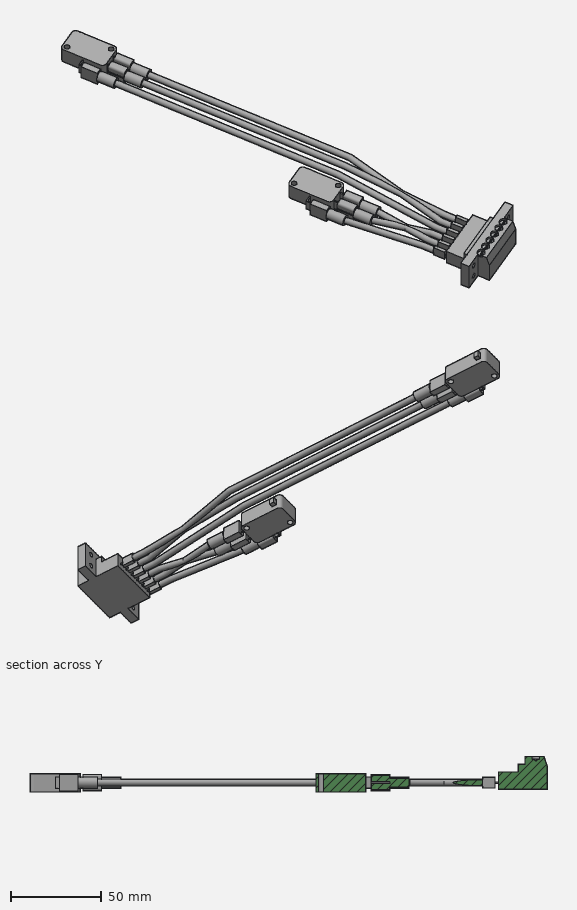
import cadquery as cq


harness_length = 286.04
harness_depth = 57.6
harness_height = 19.77

body_length = 27.8
body_width = 15.9
body_height = 10.3
body_corner_radius = 2.4
body_mid_z = body_height / 2
mount_hole_dia = 3.1
mount_pitch_x = 22.2
mount_pitch_y = 10.3
button_x = 4.3
button_length = 2.8
button_width = 4.0
button_travel = 2.5

wire_z = 5.25
blade_thickness = 0.8
blade_width = 6.35
blade_gap = 1.4
receptacle_length = 10.4
receptacle_thickness = 4.4
receptacle_width = 9.2
receptacle_curl_radius = 1.4
receptacle_seam_width = 0.8
receptacle_seam_depth = 1.2
sleeve_length = 10.6
sleeve_dia = 6.2
terminal_y = 3.7
terminal_pitch = 6.7
common_x = 14.0
common_drop = 4.2
common_axis_y = -3.7
common_receptacle_x = 16.2

switch_spacing_x = 158.0
switch_spacing_y = 27.6
far_switch_y = harness_depth - button_travel - body_width
far_switch_origin = (0, far_switch_y)
near_switch_origin = (switch_spacing_x, far_switch_y - switch_spacing_y)
far_crimp_slack = 0
near_crimp_slack = 1.4

way_count = 6
way_pitch = 5.08
connector_width = way_count * way_pitch
flange_width = 51.0
connector_axis_y = flange_width / 2
way_offset_y = -0.4
connector_bottom = 1.6
block_start = 258.9
block_top = 11.2
step_start = 269.9
step_top = 15.5
flange_start = 273.6
flange_end = 278.8
rear_top_x = 284.2
rear_slope_z = 14.3
flange_hole_dia = 2.8
flange_hole_pitch_y = 40.0
flange_hole_pitch_z = 8.6
screw_x = 279.7
screw_well_dia = 4.4
screw_well_depth = 1.5
screw_slot_width = 0.8
screw_slot_length = 3.2
screw_slot_depth = 0.8

cable_dia = 3.8
cable_bend_x = 177.0
ferrule_start = 243.2
contact_start = 250.2
contact_end = 257.2
contact_width = 1.9
contact_height = 6.0
pin_dia = 1.0
pin_insertion = 1.0


def box(x0, x1, y0, y1, z0, z1):
    """Box given by its limits along X, Y and Z."""
    return cq.Workplane("XY").box(x1 - x0, y1 - y0, z1 - z0, centered=False).translate((x0, y0, z0))


def rod(start, end, diameter):
    """Cylinder between two points (x, y) at the height of the cables."""
    direction = cq.Vector(end[0] - start[0], end[1] - start[1], 0)
    origin = cq.Vector(start[0], start[1], wire_z)
    return cq.Workplane(obj=cq.Solid.makeCylinder(diameter / 2, direction.Length, origin, direction))


def ball(point, diameter):
    return cq.Workplane("XY").sphere(diameter / 2).translate((point[0], point[1], wire_z))


def receptacle(x, y, curl_side):
    """Crimp receptacle; its rolled edges and their seam lie on the curl_side (+1 or -1) Y face."""
    shell = cq.Workplane("XY").box(receptacle_length, receptacle_thickness, receptacle_width)
    shell = shell.faces(">Y").edges("|X").fillet(receptacle_curl_radius)
    seam = cq.Workplane("XY").box(receptacle_length, receptacle_seam_depth, receptacle_seam_width)
    shell = shell.cut(seam.translate((0, (receptacle_thickness - receptacle_seam_depth) / 2, 0)))
    if curl_side < 0:
        shell = shell.mirror("XZ")
    return shell.translate((x + receptacle_length / 2, y, wire_z))


def switch_body():
    body = box(0, body_length, 0, body_width, 0, body_height)
    body = body.edges("|Z").fillet(body_corner_radius)
    holes = (
        cq.Workplane("XY")
        .pushPoints([
            ((body_length - mount_pitch_x) / 2, (body_width - mount_pitch_y) / 2),
            ((body_length + mount_pitch_x) / 2, (body_width + mount_pitch_y) / 2),
        ])
        .circle(mount_hole_dia / 2)
        .extrude(body_height)
    )
    button = box(
        button_x - button_length / 2, button_x + button_length / 2,
        body_width - button_travel, body_width + button_travel,
        body_mid_z - button_width / 2, body_mid_z + button_width / 2,
    )
    return body.cut(holes).union(button)


def straight_terminal(y, slack):
    """Blade on the +X end of the body with its receptacle and sleeve."""
    half_blade = blade_thickness / 2
    receptacle_x = body_length + blade_gap + slack
    receptacle_end = receptacle_x + receptacle_length
    blade = box(
        body_length - blade_gap, receptacle_end, y - half_blade, y + half_blade,
        wire_z - blade_width / 2, wire_z + blade_width / 2,
    )
    sleeve = rod((receptacle_end, y), (receptacle_end + sleeve_length, y), sleeve_dia)
    return blade.union(receptacle(receptacle_x, y, -1)).union(sleeve)


def common_terminal(slack):
    """Blade leaving the -Y side of the body and bent to run along +X."""
    z0 = wire_z - blade_width / 2
    z1 = wire_z + blade_width / 2
    receptacle_x = common_receptacle_x + slack
    receptacle_end = receptacle_x + receptacle_length
    drop = box(common_x, common_x + blade_thickness, -common_drop, blade_thickness, z0, z1)
    run = box(common_x, receptacle_end, -common_drop, blade_thickness - common_drop, z0, z1)
    sleeve = rod((receptacle_end, common_axis_y), (receptacle_end + sleeve_length, common_axis_y), sleeve_dia)
    return drop.union(run).union(receptacle(receptacle_x, common_axis_y, 1)).union(sleeve)


def switch(slack):
    assembly = switch_body().union(common_terminal(slack))
    for y in (terminal_y, terminal_y + terminal_pitch):
        assembly = assembly.union(straight_terminal(y, slack))
    return assembly


def sleeve_ends(origin, slack):
    """Cable exits of a switch, from +Y to -Y."""
    straight_x = body_length + blade_gap + receptacle_length + sleeve_length
    common_end_x = common_receptacle_x + receptacle_length + sleeve_length
    local = [
        (straight_x, terminal_y + terminal_pitch),
        (straight_x, terminal_y),
        (common_end_x, common_axis_y),
    ]
    return [(origin[0] + slack + x, origin[1] + y) for x, y in local]


def way_y(way):
    """Y of a connector way, counted 0 to 5 from +Y to -Y."""
    return connector_axis_y + way_offset_y + ((way_count - 1) / 2 - way) * way_pitch


def ferrule(way):
    """Start and end of the straight cable end held by a contact."""
    return [(ferrule_start, way_y(way)), (contact_start, way_y(way))]


def cable(points):
    """Round cable through the points, each bend rounded by a ball of the cable diameter."""
    body = rod(points[0], points[1], cable_dia)
    for start, end in zip(points[1:], points[2:]):
        body = body.union(ball(start, cable_dia)).union(rod(start, end, cable_dia))
    return body


def contact(way):
    """Crimp contact between the ferrule and the connector block."""
    y = way_y(way)
    blade = box(
        contact_start, contact_end, y - contact_width / 2, y + contact_width / 2,
        wire_z - contact_height / 2, wire_z + contact_height / 2,
    )
    pin = rod((contact_start, y), (block_start + pin_insertion, y), pin_dia)
    return blade.union(pin)


def connector():
    half_width = connector_width / 2
    profile = [
        (block_start, connector_bottom),
        (harness_length, connector_bottom),
        (harness_length, rear_slope_z),
        (rear_top_x, harness_height),
        (flange_start, harness_height),
        (flange_start, step_top),
        (step_start, step_top),
        (step_start, block_top),
        (block_start, block_top),
    ]
    housing = (
        cq.Workplane("XZ").polyline(profile).close()
        .extrude(half_width, both=True)
        .translate((0, connector_axis_y, 0))
    )
    housing = housing.union(
        box(flange_start, flange_end, 0, flange_width, connector_bottom, harness_height)
    )
    flange_holes = (
        cq.Workplane("YZ")
        .center(connector_axis_y, (connector_bottom + harness_height) / 2)
        .rarray(flange_hole_pitch_y, flange_hole_pitch_z, 2, 2)
        .circle(flange_hole_dia / 2)
        .extrude(flange_end - flange_start)
        .translate((flange_start, 0, 0))
    )
    screws = [(screw_x, way_y(way)) for way in range(way_count)]
    wells = (
        cq.Workplane("XY").pushPoints(screws).circle(screw_well_dia / 2)
        .extrude(-screw_well_depth)
        .translate((0, 0, harness_height))
    )
    slots = (
        cq.Workplane("XY").pushPoints(screws).rect(screw_slot_width, screw_slot_length)
        .extrude(-screw_slot_depth)
        .translate((0, 0, harness_height - screw_well_depth))
    )
    return housing.cut(flange_holes).cut(wells).cut(slots)


def harness():
    far_ways = (1, 0, 2)
    near_ways = (4, 3, 5)
    far_exits = sleeve_ends(far_switch_origin, far_crimp_slack)
    near_exits = sleeve_ends(near_switch_origin, near_crimp_slack)
    assembly = connector()
    assembly = assembly.union(switch(far_crimp_slack).translate((*far_switch_origin, 0)))
    assembly = assembly.union(switch(near_crimp_slack).translate((*near_switch_origin, 0)))
    for exit_point, way in zip(far_exits, far_ways):
        bend = (cable_bend_x, exit_point[1])
        assembly = assembly.union(cable([exit_point, bend, *ferrule(way)])).union(contact(way))
    for exit_point, way in zip(near_exits, near_ways):
        assembly = assembly.union(cable([exit_point, *ferrule(way)])).union(contact(way))
    return assembly


result = harness()